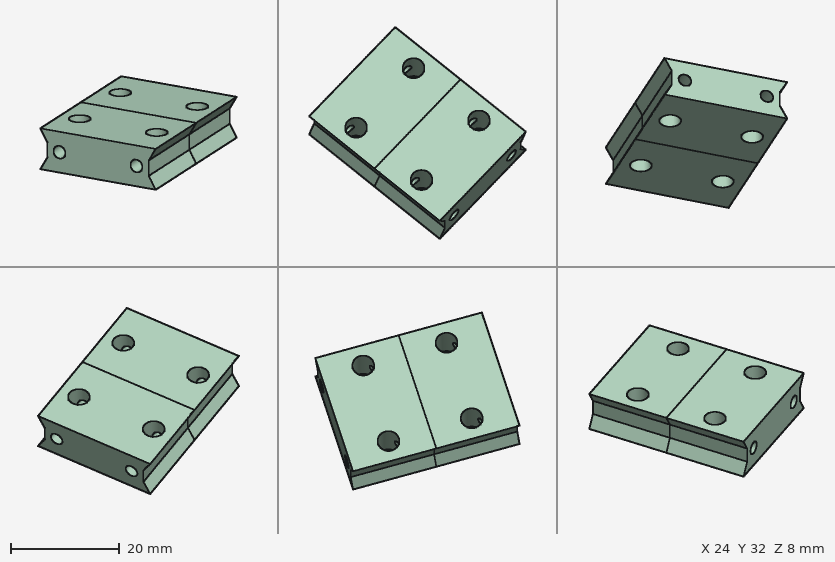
import cadquery as cq
import math

width = 24.0
block_length = 16.0
height = 8.0
block_count = 2

groove_floor = 3.0
flank_angle = 30.0
groove_depth = (height - groove_floor) / 2 * math.tan(math.radians(flank_angle))

hole_spacing = 16.0
bolt_diameter = 4.0
rod_diameter = 2.45


def make_profile():
    """Block cross-section in XZ, with a groove on each side."""
    edge_x = width / 2
    floor_x = edge_x - groove_depth
    top_z = height / 2
    floor_z = groove_floor / 2
    return cq.Workplane("XZ").polyline([
        (-edge_x, -top_z),
        (edge_x, -top_z),
        (floor_x, -floor_z),
        (floor_x, floor_z),
        (edge_x, top_z),
        (-edge_x, top_z),
        (-floor_x, floor_z),
        (-floor_x, -floor_z),
    ]).close()


def make_hole_pair(plane, diameter, depth):
    """Two cylinders spaced in X, centred on the given plane."""
    return (
        cq.Workplane(plane)
        .rarray(hole_spacing, 0.32, 2, 1)
        .circle(diameter / 2)
        .extrude(depth / 2, both=True)
    )


def make_block(center_y):
    """One grooved block with its bolt and rod holes."""
    block = make_profile().extrude(block_length / 2, both=True)
    block = block.cut(make_hole_pair("XY", bolt_diameter, height))
    block = block.cut(make_hole_pair("XZ", rod_diameter, block_length))
    return block.translate((0, center_y, 0))


blocks = []
for index in range(block_count):
    center_y = (index - (block_count - 1) / 2) * block_length
    blocks.append(make_block(center_y).val())

result = cq.Compound.makeCompound(blocks)